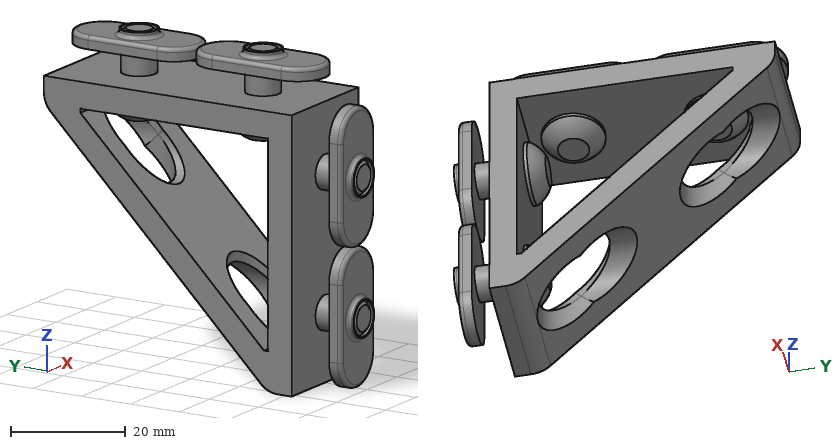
import cadquery as cq
import math

leg_length = 50.8
bracket_width = 22.25
wall = 4.9
window_leg = 38.4
window_tip = 0.75
corner_radius = 4.9

plate_width = 11.3
plate_thickness = 2.45
plate_edge_radius = 0.75
plate_gap = 4.3

collar_height = 1.2
collar_diameter = 7.0
collar_fillet = 0.75

shaft_diameter = 6.4
tip_chamfer = 0.8
head_diameter = 11.3
head_height = 3.35
head_rim = 0.65
head_flat_diameter = 5.5

access_diameter = 12.7

plate_length = leg_length / 2
bolt_spots = [leg_length / 4, 3 * leg_length / 4]
plate_top = plate_gap + plate_thickness
tip_height = plate_top + collar_height
head_radius = head_diameter / 2


def place_on_top(body, distance):
    """Move a body built at the origin along +Z to the top leg, this far from the outer corner."""
    return body.translate((0, distance, leg_length))


def place_on_front(body, distance):
    """Turn a body built at the origin along +Z to face -Y, this far below the outer corner."""
    return body.rotate((0, 0, 0), (1, 0, 0), 90).translate((0, 0, leg_length - distance))


def place_all(body):
    """Copies of a body at both bolt spots of both legs."""
    copies = []
    for distance in bolt_spots:
        copies.append(place_on_top(body, distance))
        copies.append(place_on_front(body, distance))
    return copies


def extrude_across(outline):
    """Extrude a YZ outline over the bracket width, centred on X = 0."""
    return outline.extrude(bracket_width / 2, both=True)


def make_bracket():
    """Triangular bracket with its right-angle corner at Y = 0, Z = leg_length."""
    bracket = extrude_across(
        cq.Workplane("YZ").polyline([
            (0, 0),
            (wall, 0),
            (leg_length, leg_length - wall),
            (leg_length, leg_length),
            (0, leg_length),
        ]).close()
    )
    brace_ends = cq.selectors.BoxSelector(
        (-bracket_width, wall / 2, -wall / 2),
        (bracket_width, leg_length + wall / 2, leg_length - wall / 2),
    )
    bracket = bracket.edges("|X").edges(brace_ends).fillet(corner_radius)

    inner_top = leg_length - wall
    window = extrude_across(
        cq.Workplane("YZ").polyline([
            (wall, inner_top),
            (wall + window_leg, inner_top),
            (wall + window_leg, inner_top - window_tip),
            (wall + window_tip, inner_top - window_leg),
            (wall, inner_top - window_leg),
        ]).close()
    )
    bracket = bracket.cut(window)

    shaft_hole = cq.Workplane("XY").circle(shaft_diameter / 2).extrude(-wall)
    access_hole = (
        cq.Workplane("XY").workplane(offset=-wall).circle(access_diameter / 2).extrude(-leg_length)
    )
    for hole in place_all(shaft_hole) + place_all(access_hole):
        bracket = bracket.cut(hole)
    return bracket


def make_plate():
    """Rounded-end nut plate with a flared collar around its bolt hole, lying above Z = 0."""
    plate = (
        cq.Workplane("XY").workplane(offset=plate_gap)
        .slot2D(plate_length, plate_width, 90).extrude(plate_thickness)
        .faces(">Z").edges().fillet(plate_edge_radius)
    )
    collar_radius = collar_diameter / 2
    fillet_middle = collar_fillet * (1 - math.sqrt(0.5))
    collar = (
        cq.Workplane("XZ")
        .moveTo(0, plate_gap)
        .lineTo(collar_radius + collar_fillet, plate_gap)
        .lineTo(collar_radius + collar_fillet, plate_top)
        .threePointArc(
            (collar_radius + fillet_middle, plate_top + fillet_middle),
            (collar_radius, plate_top + collar_fillet),
        )
        .lineTo(collar_radius, tip_height)
        .lineTo(0, tip_height)
        .close().revolve(360, (0, 0, 0), (0, 1, 0))
    )
    bore = cq.Workplane("XY").circle(shaft_diameter / 2).extrude(tip_height)
    return plate.union(collar).cut(bore)


def make_bolt():
    """Button-head bolt along Z, its head seated on the inner face of a leg at Z = -wall."""
    shaft = (
        cq.Workplane("XY").workplane(offset=-wall)
        .circle(shaft_diameter / 2).extrude(wall + tip_height)
        .faces(">Z").chamfer(tip_chamfer)
    )
    flat_radius = head_flat_diameter / 2
    dome_height = head_height - head_rim
    centre_drop = (head_radius**2 - flat_radius**2 - dome_height**2) / (2 * dome_height)
    dome_radius = math.hypot(head_radius, centre_drop)
    middle_depth = head_rim + dome_height / 2
    middle_radius = math.sqrt(dome_radius**2 - (dome_height / 2 + centre_drop)**2)
    head = (
        cq.Workplane("XZ")
        .moveTo(0, -wall)
        .lineTo(head_radius, -wall)
        .lineTo(head_radius, -wall - head_rim)
        .threePointArc((middle_radius, -wall - middle_depth), (flat_radius, -wall - head_height))
        .lineTo(0, -wall - head_height)
        .close().revolve(360, (0, 0, 0), (0, 1, 0))
    )
    return shaft.union(head)


bracket = make_bracket()
plates = place_all(make_plate())
bolts = place_all(make_bolt())

result = cq.Compound.makeCompound([body.val() for body in [bracket, *plates, *bolts]])